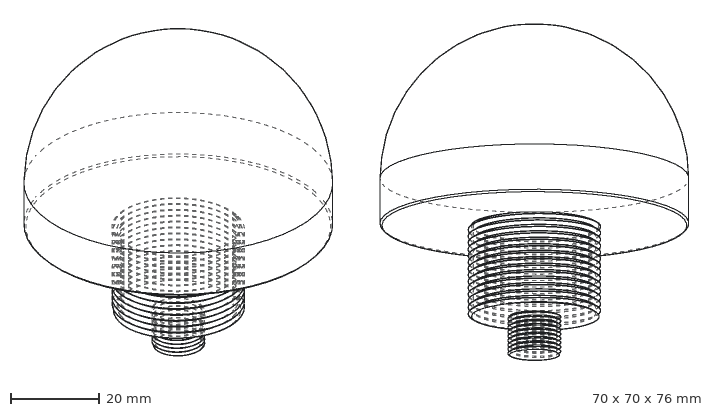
import cadquery as cq
import math

total_height = 76
dome_diameter = 70.0
dome_radius = dome_diameter / 2
dome_base_z = total_height - dome_radius

flange_bottom_z = 30.0
flange_chamfer = 0.45
stem_bottom_z = 9.0
stem_major_diameter = 30.0
stem_minor_diameter = 27.75
stem_pitch = stem_major_diameter / 20
stem_first_crest = 0.45

connector_major_diameter = 12.0
connector_minor_diameter = 10.5
connector_pitch = connector_major_diameter / 12
connector_first_crest = 0.2

flank_slope = math.tan(math.radians(30))
crest_flat_ratio = 0.07
ridge_embedding = 0.03
extra_turns = 2
core_overrun = 4.55


def make_thread_ridge(inner_radius, outer_radius, pitch, start_z, turns):
    """Helical ridge of trapezoidal section, starting on the +X side at start_z."""
    outer_half_width = crest_flat_ratio * pitch / 2
    inner_half_width = outer_half_width + (outer_radius - inner_radius) * flank_slope
    corners = [
        (inner_radius, -inner_half_width),
        (outer_radius, -outer_half_width),
        (outer_radius, outer_half_width),
        (inner_radius, inner_half_width),
    ]
    helices = [
        cq.Wire.makeHelix(pitch, turns * pitch, radius).translate(cq.Vector(0, 0, start_z + offset))
        for radius, offset in corners
    ]

    faces = []
    for helix, next_helix in zip(helices, helices[1:] + helices[:1]):
        faces += cq.Face.makeRuledSurface(helix, next_helix).Faces()
    start_corners = [helix.startPoint() for helix in helices]
    end_corners = [helix.endPoint() for helix in helices]
    for end_outline in (start_corners, end_corners):
        faces.append(cq.Face.makeFromWires(cq.Wire.makePolygon(end_outline, close=True)))
    return cq.Solid.makeSolid(cq.Shell.makeShell(faces))


def make_threaded_rod(major_diameter, minor_diameter, pitch, first_crest, bottom_z, top_z):
    """Vertical core joined to a helical ridge, both trimmed flat at the rod's ends."""
    length = top_z - bottom_z
    ridge = make_thread_ridge(
        minor_diameter / 2 - ridge_embedding,
        major_diameter / 2,
        pitch,
        first_crest - extra_turns * pitch,
        math.ceil(length / pitch) + 2 * extra_turns,
    )
    core = (
        cq.Workplane("XY", origin=(0, 0, -core_overrun))
        .circle(minor_diameter / 2)
        .extrude(length + 2 * core_overrun)
    )
    trim_width = 2 * major_diameter
    trim_block = cq.Workplane("XY").rect(trim_width, trim_width).extrude(length)
    rod = core.union(cq.Workplane(obj=ridge)).intersect(trim_block)
    return cq.Workplane(obj=rod.solids().val()).translate((0, 0, bottom_z))


def make_dome():
    """Solid hemisphere resting on the flange."""
    return (
        cq.Workplane("XZ")
        .moveTo(0, dome_base_z)
        .lineTo(dome_radius, dome_base_z)
        .radiusArc((0, total_height), -dome_radius)
        .close()
        .revolve(360, (0, 0), (0, 1))
    )


def make_base():
    """Round flange with a chamfered lower rim, joined to its threaded stem."""
    flange = (
        cq.Workplane("XY", origin=(0, 0, flange_bottom_z))
        .circle(dome_radius)
        .extrude(dome_base_z - flange_bottom_z)
        .faces("<Z")
        .chamfer(flange_chamfer)
    )
    stem = make_threaded_rod(
        stem_major_diameter,
        stem_minor_diameter,
        stem_pitch,
        stem_first_crest,
        stem_bottom_z,
        flange_bottom_z,
    )
    return cq.Workplane(obj=flange.union(stem).solids().val())


def make_connector():
    """Threaded plug that meets the lower end face of the stem."""
    return make_threaded_rod(
        connector_major_diameter,
        connector_minor_diameter,
        connector_pitch,
        connector_first_crest,
        0,
        stem_bottom_z,
    )


dome = make_dome()
base = make_base()
connector = make_connector()

result = cq.Compound.makeCompound([dome.val(), base.val(), connector.val()])